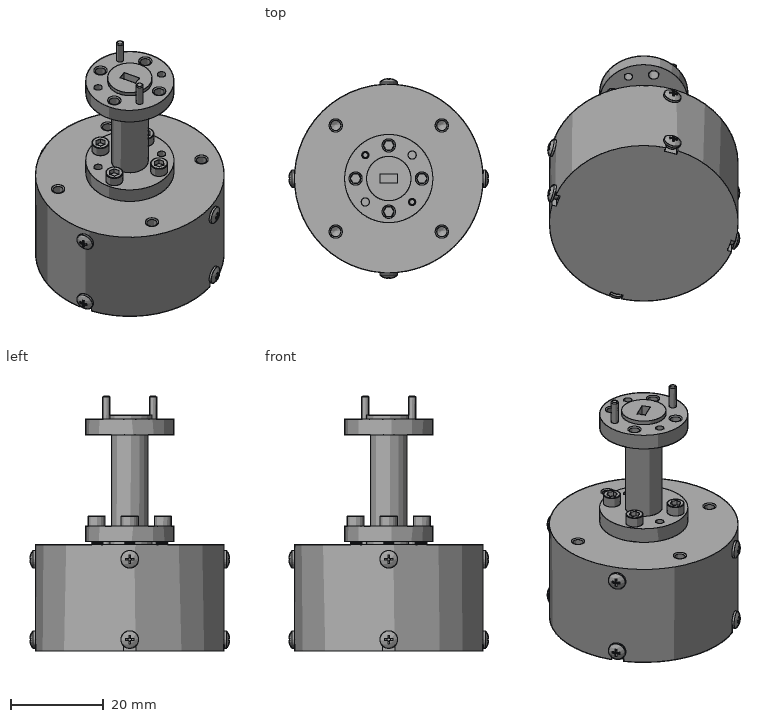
import cadquery as cq
import math

housing_diameter = 40.75
housing_height = 22.95
mount_hole_spacing = 22.9
mount_hole_depth = 6.05
drill_point_angle = 118.0

tapped_hole_diameter = 2.2
tapped_hole_mouth = 2.85
tapped_hole_mouth_depth = 0.2

flange_diameter = 19.05
flange_thickness = 3.35
flange_gap = 0.65
tube_diameter = 8.0
tube_length = 19.7
boss_diameter = 9.6
boss_height = 0.9
channel_width = 3.75
channel_depth = 1.85

bolt_circle_radius = 7.15
pin_hole_diameter = 1.75
pin_diameter = 1.55
pin_chamfer = 0.2
pin_top = 55.05

cap_head_diameter = 3.7
cap_head_height = 2.2
cap_head_chamfer = 0.1
cap_shank_diameter = 2.2
cap_thread_depth = 0.2
cap_thread_turns = 2
cap_socket_width = 2.0
cap_socket_depth = 1.1

side_screw_heights = (2.5, 19.8)
side_head_diameter = 3.8
side_head_height = 1.2
side_head_rim = 0.5
side_shank_diameter = 2.2
side_shank_length = 4.95
recess_diameter = 2.1
recess_floor_diameter = 0.75
recess_width = 0.4
recess_depth = 0.65
slot_width = 2.75
slot_depth = 1.0

housing_radius = housing_diameter / 2
lower_flange_bottom = housing_height + flange_gap
lower_flange_top = lower_flange_bottom + flange_thickness
upper_flange_bottom = lower_flange_top + tube_length
upper_flange_top = upper_flange_bottom + flange_thickness
boss_top = upper_flange_top + boss_height
pin_offset = bolt_circle_radius * math.sqrt(0.5)
screw_points = [
    (bolt_circle_radius, 0),
    (0, bolt_circle_radius),
    (-bolt_circle_radius, 0),
    (0, -bolt_circle_radius),
]
pin_points = [(-pin_offset, pin_offset), (pin_offset, -pin_offset)]
pin_hole_points = [(-pin_offset, -pin_offset), (pin_offset, pin_offset)]
side_screw_angles = (0, 90, 180, 270)


def cylinder(diameter, bottom, top):
    """Upright cylinder on the Z axis."""
    return cq.Workplane("XY", origin=(0, 0, bottom)).circle(diameter / 2).extrude(top - bottom)


def copies(shape, points):
    """The shape repeated at each (x, y) point."""
    group = cq.Workplane("XY")
    for x, y in points:
        group = group.add(shape.translate((x, y, 0)))
    return group.combine()


def mouth_chamfer(top):
    """Cone that widens a threaded hole at its upper end."""
    base = top - tapped_hole_mouth_depth
    profile = [(0, top), (tapped_hole_mouth / 2, top), (tapped_hole_diameter / 2, base), (0, base)]
    return cq.Workplane("XZ").polyline(profile).close().revolve(360, (0, 0), (0, 1))


def drilled_hole(top, depth):
    """Blind threaded hole with a conical drill point and a chamfered mouth."""
    radius = tapped_hole_diameter / 2
    point_height = radius / math.tan(math.radians(drill_point_angle / 2))
    floor = top - depth
    profile = [(0, top), (radius, top), (radius, floor), (0, floor - point_height)]
    hole = cq.Workplane("XZ").polyline(profile).close().revolve(360, (0, 0), (0, 1))
    return hole.union(mouth_chamfer(top))


def make_housing():
    """Drum with four threaded holes in its top."""
    corner = mount_hole_spacing / 2
    corners = [(x, y) for x in (-corner, corner) for y in (-corner, corner)]
    return cylinder(housing_diameter, 0, housing_height).cut(
        copies(drilled_hole(housing_height, mount_hole_depth), corners)
    )


def make_waveguide():
    """Tube with a flange and a raised boss at each end and a rectangular channel."""
    waveguide = cylinder(flange_diameter, lower_flange_bottom, lower_flange_top)
    waveguide = waveguide.union(cylinder(flange_diameter, upper_flange_bottom, upper_flange_top))
    waveguide = waveguide.union(cylinder(tube_diameter, lower_flange_top, upper_flange_bottom))
    waveguide = waveguide.union(cylinder(boss_diameter, housing_height, lower_flange_bottom))
    waveguide = waveguide.union(cylinder(boss_diameter, upper_flange_top, boss_top))

    channel = cq.Workplane("XY", origin=(0, 0, housing_height)).rect(channel_width, channel_depth)
    waveguide = waveguide.cut(channel.extrude(boss_top - housing_height))

    pin_holes = copies(cylinder(pin_hole_diameter, lower_flange_bottom, upper_flange_top), pin_hole_points)
    tapped_hole = cylinder(tapped_hole_diameter, upper_flange_bottom, upper_flange_top)
    tapped_hole = tapped_hole.union(mouth_chamfer(upper_flange_top))
    return waveguide.cut(pin_holes).cut(copies(tapped_hole, screw_points))


def make_dowel_pins():
    """Pins above the upper flange and pins from the lower flange to the housing."""
    upper_pin = cylinder(pin_diameter, upper_flange_top, pin_top).faces(">Z").chamfer(pin_chamfer)
    lower_pin = cylinder(pin_diameter, housing_height, lower_flange_bottom)
    return copies(upper_pin, pin_points).union(copies(lower_pin, pin_points))


def make_cap_screws():
    """Socket heads on the lower flange, with a grooved, thread-like shank across the gap below it."""
    head_top = lower_flange_top + cap_head_height
    head = cylinder(cap_head_diameter, lower_flange_top, head_top).faces(">Z").edges().chamfer(cap_head_chamfer)
    socket_diameter = cap_socket_width / math.cos(math.radians(30))
    socket = cq.Workplane("XY", origin=(0, 0, head_top)).polygon(6, socket_diameter).extrude(-cap_socket_depth)
    crest = cap_shank_diameter / 2
    root = crest - cap_thread_depth
    pitch = flange_gap / cap_thread_turns
    profile = [(0, housing_height), (crest, housing_height)]
    for turn in range(cap_thread_turns):
        turn_bottom = housing_height + turn * pitch
        profile += [(root, turn_bottom + pitch / 2), (crest, turn_bottom + pitch)]
    profile.append((0, lower_flange_bottom))
    shank = cq.Workplane("XZ").polyline(profile).close().revolve(360, (0, 0), (0, 1))
    return copies(head.cut(socket), screw_points).union(copies(shank, screw_points))


def placed_on_side(shape, height, angle):
    """Turns a shape built along +Z at the origin to point outward from the housing wall."""
    return (
        shape.rotate((0, 0, 0), (0, 1, 0), 90)
        .translate((housing_radius, 0, height))
        .rotate((0, 0, 0), (0, 0, 1), angle)
    )


def make_side_slot():
    """Slot in the outer wall from the lower screw down to the bottom edge."""
    height = side_screw_heights[0]
    ring = cylinder(housing_diameter, 0, housing_height).cut(
        cylinder(housing_diameter - 2 * slot_depth, 0, housing_height)
    )
    bar = cq.Workplane("YZ").center(0, height / 2).rect(slot_width, height).extrude(housing_diameter)
    round_end = cq.Workplane("YZ").center(0, height).circle(slot_width / 2).extrude(housing_diameter)
    return ring.intersect(bar.union(round_end))


def make_cross_recess():
    """Cross that narrows like a cone from the top of a pan head to the recess floor."""
    floor = side_head_height - recess_depth
    profile = [
        (0, floor),
        (recess_floor_diameter / 2, floor),
        (recess_diameter / 2, side_head_height),
        (0, side_head_height),
    ]
    cone = cq.Workplane("XZ").polyline(profile).close().revolve(360, (0, 0), (0, 1))
    base = cq.Workplane("XY", origin=(0, 0, floor))
    arm_x = base.rect(recess_diameter, recess_width).extrude(recess_depth)
    arm_y = base.rect(recess_width, recess_diameter).extrude(recess_depth)
    return cone.intersect(arm_x.union(arm_y))


def make_side_screw():
    """Pan head screw along +Z, its seat at Z = 0, with a cross recess in the head."""
    head_radius = side_head_diameter / 2
    dome_rise = side_head_height - side_head_rim
    dome_radius = (head_radius**2 + dome_rise**2) / (2 * dome_rise)
    dome_middle_radius = head_radius / 2
    dome_middle = side_head_height - dome_radius + math.sqrt(dome_radius**2 - dome_middle_radius**2)
    shank_radius = side_shank_diameter / 2
    screw = (
        cq.Workplane("XZ")
        .moveTo(0, -side_shank_length)
        .lineTo(shank_radius, -side_shank_length)
        .lineTo(shank_radius, 0)
        .lineTo(head_radius, 0)
        .lineTo(head_radius, side_head_rim)
        .threePointArc((dome_middle_radius, dome_middle), (0, side_head_height))
        .close()
        .revolve(360, (0, 0), (0, 1))
    )
    return screw.cut(make_cross_recess())


main_body = make_housing().union(make_waveguide()).union(make_cap_screws()).union(make_dowel_pins())
side_bore = cq.Workplane("XY").circle(side_shank_diameter / 2).extrude(-side_shank_length)
side_slot = make_side_slot()

side_screw = make_side_screw()
side_screws = []
for side_angle in side_screw_angles:
    main_body = main_body.cut(side_slot.rotate((0, 0, 0), (0, 0, 1), side_angle))
    for screw_height in side_screw_heights:
        main_body = main_body.cut(placed_on_side(side_bore, screw_height, side_angle))
        side_screws.append(placed_on_side(side_screw, screw_height, side_angle).val())

result = cq.Compound.makeCompound([main_body.val(), *side_screws])